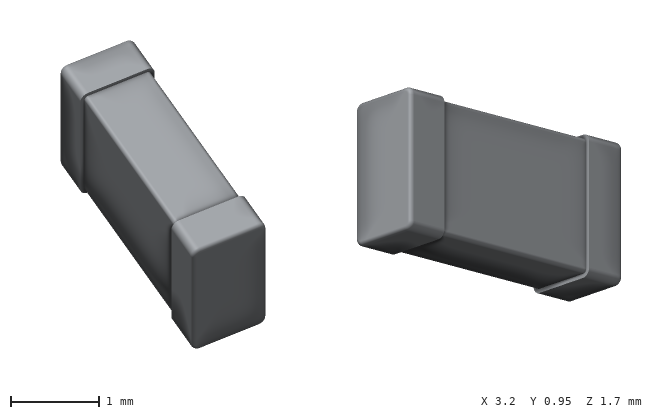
import cadquery as cq

length = 3.2
cap_depth = 0.95
cap_height = 1.7

plating = 0.05
cap_length = 0.51
cap_side_radius = 0.1
cap_end_radius = 0.05

body_length = length - 2 * plating
body_depth = cap_depth - 2 * plating
body_height = cap_height - 2 * plating
body_radius = cap_side_radius - plating


def make_body():
    """Bar along X with its four long edges rounded."""
    bar = cq.Workplane("XY").box(body_length, body_depth, body_height)
    return bar.edges("|X").fillet(body_radius)


def make_cap(side):
    """End cap on the -X (side = -1) or +X (side = 1) end, rounded at its outer face."""
    cap_center = side * (length - cap_length) / 2
    outer_face = ">X" if side > 0 else "<X"
    cap = cq.Workplane("XY").box(cap_length, cap_depth, cap_height)
    cap = cap.edges("|X").fillet(cap_side_radius)
    cap = cap.faces(outer_face).edges().fillet(cap_end_radius)
    return cap.translate((cap_center, 0, 0))


result = make_body()
for side in (-1, 1):
    result = result.union(make_cap(side))